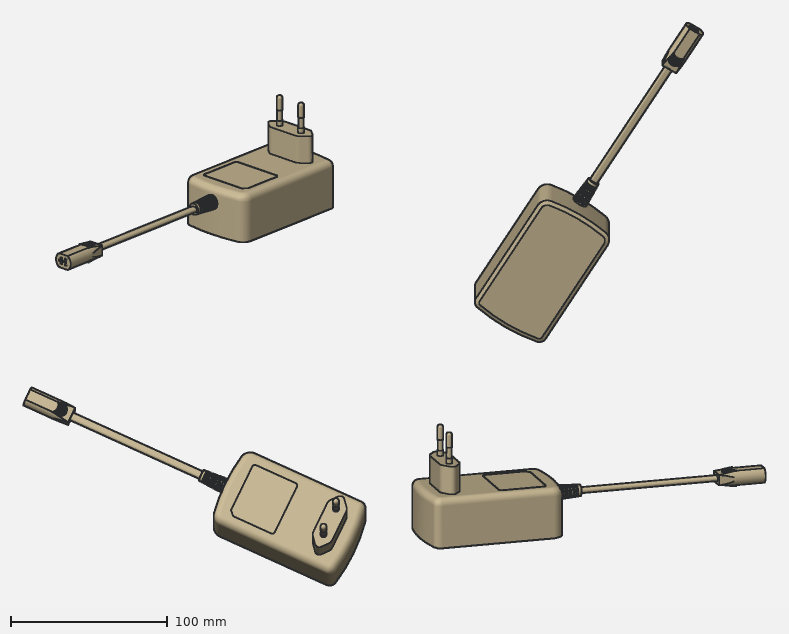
import cadquery as cq
import math


TOTAL_LENGTH = 229.8
TOTAL_HEIGHT = 72.5

HOUSING_WIDTH = 52.5
HOUSING_LENGTH = 90.5
HOUSING_HEIGHT = 33.8
END_BULGE_RADIUS = 119.5
FRONT_CORNER_RADIUS = 7.1
BACK_CORNER_RADIUS = 4.8
TOP_EDGE_RADIUS = 4.5
BASE_CHAMFER_HEIGHT = 1.1
BASE_CHAMFER_WIDTH = 2.8

LABEL_WIDTH = 36.8
LABEL_LENGTH = 31.5
LABEL_CENTER_Y = -63.5
LABEL_DEPTH = 0.2
LABEL_CORNER_RADIUS = 1.8
LABEL_KEY_CHAMFER = 3.0

PLUG_CENTER_Y = -16.8
PLUG_TOP = 52.2
PLUG_HALF_DEPTH = 6.7
PLUG_HALF_FLAT = 12.0
PLUG_HALF_TIP = 20.0
PLUG_SHOULDER_RADIUS = 5.0
PLUG_TIP_RADIUS = 2.8
PIN_SPACING = 18.5
PIN_DIAMETER = 4.0
PIN_NECK_DIAMETER = 3.5
PIN_NECK_BOTTOM = 55.5
PIN_NECK_TOP = 62.7
PIN_TIP_RADIUS = 1.8

CABLE_Z = 23.5

RELIEF_LENGTH = 16.8
RELIEF_BASE_DIAMETER = 9.9
RELIEF_END_DIAMETER = 7.5
RELIEF_SLOT_COUNT = 6
SAME_SIDE_SLOT_PITCH = 4.8
RELIEF_SLOT_PITCH = SAME_SIDE_SLOT_PITCH / 2
RELIEF_FIRST_SLOT = 1.8
RELIEF_SLOT_WIDTH = 1.1
RELIEF_WEB = 1.1

CABLE_WIDTH = 5.5
CABLE_THICKNESS = 3.5

CONNECTOR_LENGTH = 31.0
CONNECTOR_HALF_WIDTH = 6.5
CONNECTOR_HALF_HEIGHT = 4.8
CONNECTOR_HALF_FLAT = 3.7
TAPER_LENGTH = 11.3
TAIL_HALF_WIDTH = 5.3
TAIL_HALF_HEIGHT = 3.5

RIB_COUNT = 5
RIB_PITCH = 1.4
RIB_WIDTH = 0.7
RIB_HEIGHT = 0.5
RIB_HALF_SPAN = 4.0
RIB_RISE = 2.0
RIB_FIRST_APEX = 3.7

CONTACT_OFFSET = 1.8
CONTACT_SLOT_LENGTH = 4.1
CONTACT_SLOT_WIDTH = 1.4
CONTACT_CROSS_WIDTH = 1.0
CONTACT_NOTCH_WIDTH = 0.35
CONTACT_DEPTH = 7.0

OVERLAP = 2.3

CONNECTOR_TAIL_Y = CONNECTOR_LENGTH - TOTAL_LENGTH


def make_housing():
    """Box with bulged ends, rounded corners and top edge, and a chamfered base."""
    half_width = HOUSING_WIDTH / 2
    bulge = END_BULGE_RADIUS - math.sqrt(END_BULGE_RADIUS**2 - half_width**2)
    body = (
        cq.Workplane("XY")
        .moveTo(-half_width, -bulge)
        .threePointArc((0, 0), (half_width, -bulge))
        .lineTo(half_width, bulge - HOUSING_LENGTH)
        .threePointArc((0, -HOUSING_LENGTH), (-half_width, bulge - HOUSING_LENGTH))
        .close()
        .extrude(HOUSING_HEIGHT)
    )
    body = body.edges("|Z").edges(">Y").fillet(BACK_CORNER_RADIUS)
    body = body.edges("|Z").edges("<Y").fillet(FRONT_CORNER_RADIUS)
    body = body.faces(">Z").edges().fillet(TOP_EDGE_RADIUS)
    return body.faces("<Z").edges().chamfer(BASE_CHAMFER_HEIGHT, BASE_CHAMFER_WIDTH)


def make_label_recess():
    """Shallow rectangle with three rounded corners and one bevelled corner."""
    recess = (
        cq.Workplane("XY", origin=(0, LABEL_CENTER_Y, HOUSING_HEIGHT - LABEL_DEPTH))
        .rect(LABEL_WIDTH, LABEL_LENGTH)
        .extrude(OVERLAP)
    )
    recess = recess.edges("|Z").edges("<X or >Y").fillet(LABEL_CORNER_RADIUS)
    return recess.edges("|Z").edges(">X").edges("<Y").chamfer(LABEL_KEY_CHAMFER)


def make_plug_block():
    """Flat six-sided plug body with rounded upright edges."""
    outline = [
        (-PLUG_HALF_TIP, 0),
        (-PLUG_HALF_FLAT, PLUG_HALF_DEPTH),
        (PLUG_HALF_FLAT, PLUG_HALF_DEPTH),
        (PLUG_HALF_TIP, 0),
        (PLUG_HALF_FLAT, -PLUG_HALF_DEPTH),
        (-PLUG_HALF_FLAT, -PLUG_HALF_DEPTH),
    ]
    base = HOUSING_HEIGHT - OVERLAP
    block = (
        cq.Workplane("XY", origin=(0, PLUG_CENTER_Y, base))
        .polyline(outline)
        .close()
        .extrude(PLUG_TOP - base)
    )
    block = block.edges("|Z").edges("<X or >X").fillet(PLUG_TIP_RADIUS)
    shoulders = block.edges("|Z").edges("<Y or >Y")
    return shoulders.fillet(PLUG_SHOULDER_RADIUS)


def make_pin(x):
    """Round pin with a necked middle and a rounded tip."""
    base = PLUG_TOP - OVERLAP
    pin = (
        cq.Workplane("XY", origin=(x, PLUG_CENTER_Y, base))
        .circle(PIN_DIAMETER / 2)
        .extrude(TOTAL_HEIGHT - base)
        .faces(">Z")
        .edges()
        .fillet(PIN_TIP_RADIUS)
    )
    neck_cut = (
        cq.Workplane("XY", origin=(x, PLUG_CENTER_Y, PIN_NECK_BOTTOM))
        .circle(PIN_DIAMETER)
        .circle(PIN_NECK_DIAMETER / 2)
        .extrude(PIN_NECK_TOP - PIN_NECK_BOTTOM)
    )
    return pin.cut(neck_cut)


def make_strain_relief():
    """Cone slotted alternately from the sides and from above and below, leaving a web."""
    taper_per_length = (RELIEF_BASE_DIAMETER - RELIEF_END_DIAMETER) / RELIEF_LENGTH
    root_diameter = RELIEF_BASE_DIAMETER + taper_per_length * OVERLAP
    relief = (
        cq.Workplane("XZ", origin=(0, OVERLAP - HOUSING_LENGTH, CABLE_Z))
        .circle(root_diameter / 2)
        .workplane(offset=RELIEF_LENGTH + OVERLAP)
        .circle(RELIEF_END_DIAMETER / 2)
        .loft()
    )
    slot_depth = 2 * RELIEF_BASE_DIAMETER
    slot_shift = (RELIEF_WEB + slot_depth) / 2
    for index in range(RELIEF_SLOT_COUNT):
        slot_y = -HOUSING_LENGTH - RELIEF_FIRST_SLOT - index * RELIEF_SLOT_PITCH
        from_sides = index % 2 == 0
        for side in (-1, 1):
            shift_x = side * slot_shift if from_sides else 0
            shift_z = 0 if from_sides else side * slot_shift
            slot = cq.Workplane("XY", origin=(shift_x, slot_y, CABLE_Z + shift_z)).box(
                slot_depth, RELIEF_SLOT_WIDTH, slot_depth
            )
            relief = relief.cut(slot)
    return relief


def make_cable():
    """Flat twin cable with half-round edges, from the strain relief into the connector."""
    start_y = OVERLAP - HOUSING_LENGTH - RELIEF_LENGTH
    end_y = CONNECTOR_TAIL_Y - OVERLAP
    return (
        cq.Workplane("XZ", origin=(0, start_y, CABLE_Z))
        .slot2D(CABLE_WIDTH, CABLE_THICKNESS)
        .extrude(start_y - end_y)
    )


def connector_envelope(raise_by):
    """Space left by the tapers at the tail; the top and bottom are lifted by raise_by."""
    taper_end_y = CONNECTOR_TAIL_Y - TAPER_LENGTH
    tail_height = TAIL_HALF_HEIGHT + raise_by
    full_height = CONNECTOR_HALF_HEIGHT + raise_by
    from_side = [
        (CONNECTOR_TAIL_Y, tail_height),
        (taper_end_y, full_height),
        (-TOTAL_LENGTH, full_height),
        (-TOTAL_LENGTH, -full_height),
        (taper_end_y, -full_height),
        (CONNECTOR_TAIL_Y, -tail_height),
    ]
    from_top = [
        (TAIL_HALF_WIDTH, CONNECTOR_TAIL_Y),
        (CONNECTOR_HALF_WIDTH, taper_end_y),
        (CONNECTOR_HALF_WIDTH, -TOTAL_LENGTH),
        (-CONNECTOR_HALF_WIDTH, -TOTAL_LENGTH),
        (-CONNECTOR_HALF_WIDTH, taper_end_y),
        (-TAIL_HALF_WIDTH, CONNECTOR_TAIL_Y),
    ]
    side_prism = (
        cq.Workplane("YZ", origin=(0, 0, CABLE_Z))
        .polyline(from_side)
        .close()
        .extrude(CONNECTOR_HALF_WIDTH, both=True)
    )
    top_prism = (
        cq.Workplane("XY", origin=(0, 0, CABLE_Z))
        .polyline(from_top)
        .close()
        .extrude(full_height, both=True)
    )
    return side_prism.intersect(top_prism)


def make_connector_body():
    """Bar with flat top and bottom and rounded sides, tapered at the cable end."""
    bar = (
        cq.Workplane("XZ", origin=(0, CONNECTOR_TAIL_Y, CABLE_Z))
        .moveTo(-CONNECTOR_HALF_FLAT, CONNECTOR_HALF_HEIGHT)
        .lineTo(CONNECTOR_HALF_FLAT, CONNECTOR_HALF_HEIGHT)
        .threePointArc((CONNECTOR_HALF_WIDTH, 0), (CONNECTOR_HALF_FLAT, -CONNECTOR_HALF_HEIGHT))
        .lineTo(-CONNECTOR_HALF_FLAT, -CONNECTOR_HALF_HEIGHT)
        .threePointArc((-CONNECTOR_HALF_WIDTH, 0), (-CONNECTOR_HALF_FLAT, CONNECTOR_HALF_HEIGHT))
        .close()
        .extrude(CONNECTOR_LENGTH)
    )
    return bar.intersect(connector_envelope(0))


def make_grip_ribs():
    """Arched ribs standing a little proud of the connector's top and bottom."""
    ribs = cq.Workplane("XY")
    reach = CONNECTOR_HALF_HEIGHT + RIB_HEIGHT
    for index in range(RIB_COUNT):
        apex_y = CONNECTOR_TAIL_Y - RIB_FIRST_APEX - index * RIB_PITCH
        foot_y = apex_y - RIB_RISE
        rib = (
            cq.Workplane("XY", origin=(0, 0, CABLE_Z))
            .moveTo(-RIB_HALF_SPAN, foot_y)
            .threePointArc((0, apex_y), (RIB_HALF_SPAN, foot_y))
            .lineTo(RIB_HALF_SPAN, foot_y - RIB_WIDTH)
            .threePointArc((0, apex_y - RIB_WIDTH), (-RIB_HALF_SPAN, foot_y - RIB_WIDTH))
            .close()
            .extrude(reach, both=True)
        )
        ribs = ribs.add(rib)
    return ribs.combine().intersect(connector_envelope(RIB_HEIGHT))


def make_contact_openings():
    """Cross-shaped contact slot, round contact hole and two notches beside the hole."""
    notch_shift = CONTACT_SLOT_LENGTH / 2
    floor_y = CONTACT_DEPTH - TOTAL_LENGTH
    cross_floor = cq.Workplane("XZ", origin=(-CONTACT_OFFSET, floor_y, CABLE_Z))
    hole_floor = cq.Workplane("XZ", origin=(CONTACT_OFFSET, floor_y, CABLE_Z))
    upright = cross_floor.rect(CONTACT_SLOT_WIDTH, CONTACT_SLOT_LENGTH).extrude(CONTACT_DEPTH)
    crossbar = cross_floor.rect(CONTACT_SLOT_LENGTH, CONTACT_CROSS_WIDTH).extrude(CONTACT_DEPTH)
    hole = hole_floor.circle(CONTACT_SLOT_WIDTH / 2).extrude(CONTACT_DEPTH)
    notches = (
        hole_floor.pushPoints([(0, notch_shift), (0, -notch_shift)])
        .rect(CONTACT_SLOT_WIDTH, CONTACT_NOTCH_WIDTH)
        .extrude(CONTACT_DEPTH)
    )
    return upright.union(crossbar).union(hole).union(notches)


housing = make_housing().cut(make_label_recess())
plug = make_plug_block()
for pin_x in (-PIN_SPACING / 2, PIN_SPACING / 2):
    plug = plug.union(make_pin(pin_x))
connector = make_connector_body().union(make_grip_ribs()).cut(make_contact_openings())

result = housing.union(plug).union(make_strain_relief()).union(make_cable()).union(connector)